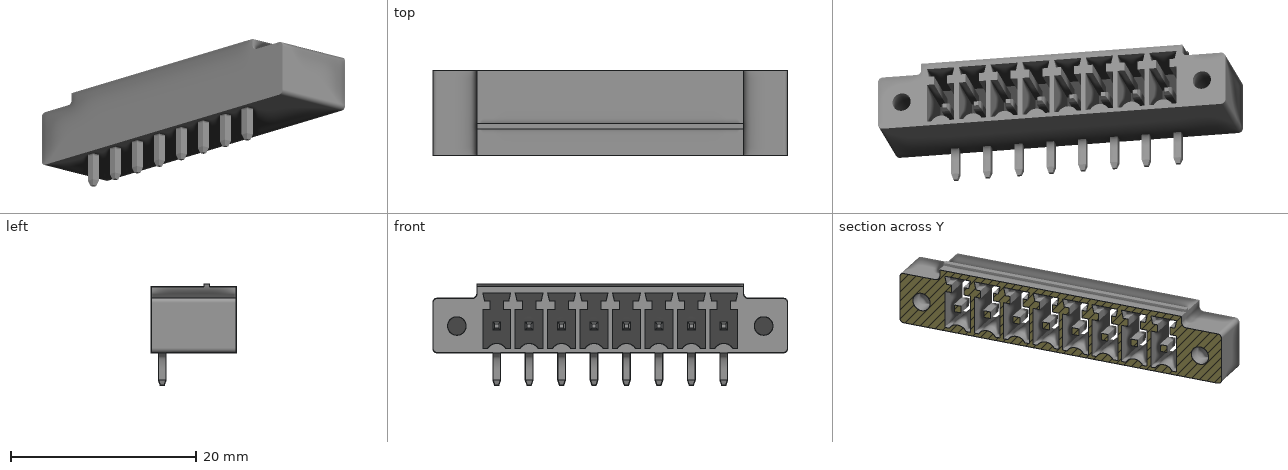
import cadquery as cq


pin_count = 8
pitch = 3.5
pin_xs = [(i - (pin_count - 1) / 2) * pitch for i in range(pin_count)]
row_half_length = pin_xs[-1]

depth = 9.2
overall_length = 38.3
flange_height = 5.9
housing_height = 7.15
insert_offset = 4.3
insert_xs = [-row_half_length - insert_offset, row_half_length + insert_offset]
raised_half_length = row_half_length + insert_offset / 2
corner_radius = 0.5

rib_front = 2.9
rib_width = 0.6
rib_height = 0.3

insert_diameter = 4.0
insert_hole_diameter = 2.0
insert_depth = 7.0
axis_height = 2.9

cavity_depth = 7.0
cavity_half_width = 1.5
cavity_floor = 0.45
cavity_shoulder = 4.67
neck_half_width = 0.73
neck_top = 5.6
keyway_half_width = 1.3
cavity_top = 6.47
floor_bump_half_width = 1.0
floor_bump_top = 1.02

pin_width = 0.85
pin_tip_width = 0.45
pin_tip_length = 0.6
leg_length = 3.5
leg_y = 8.0
contact_recess = 2.0


def make_housing():
    """Stepped block with rounded flange corners and filleted inner steps."""
    flanges = cq.Workplane("XY").box(overall_length, depth, flange_height, centered=(True, False, False))
    flanges = flanges.edges("|Y").fillet(corner_radius)
    raised = cq.Workplane("XY").box(2 * raised_half_length, depth, housing_height, centered=(True, False, False))
    step_edges = cq.selectors.BoxSelector(
        (-raised_half_length - corner_radius, 0, flange_height - corner_radius / 2),
        (raised_half_length + corner_radius, depth, flange_height + corner_radius / 2),
    )
    return flanges.union(raised).edges("|Y").edges(step_edges).fillet(corner_radius)


def make_rib():
    """Low rib across the full length of the raised block."""
    return (
        cq.Workplane("XY", origin=(0, rib_front, housing_height))
        .box(2 * raised_half_length, rib_width, rib_height, centered=(True, False, False))
    )


def cylinder_from_front(x, z, diameter, length):
    """Cylinder running from the mating face into the part."""
    return cq.Workplane("XZ", origin=(x, 0, z)).circle(diameter / 2).extrude(-length)


def make_cavity(x):
    """Plug cavity with a necked dovetail keyway above and a round bump on its floor."""
    right_side = [
        (cavity_half_width, cavity_floor),
        (cavity_half_width, cavity_shoulder),
        (neck_half_width, cavity_shoulder),
        (neck_half_width, neck_top),
        (keyway_half_width, neck_top),
        (cavity_half_width, cavity_top),
    ]
    left_side = [(-px, pz) for px, pz in reversed(right_side)]
    return (
        cq.Workplane("XZ", origin=(x, 0, 0))
        .moveTo(floor_bump_half_width, cavity_floor)
        .polyline(right_side + left_side, includeCurrent=True)
        .lineTo(-floor_bump_half_width, cavity_floor)
        .threePointArc((0, floor_bump_top), (floor_bump_half_width, cavity_floor))
        .close()
        .extrude(-cavity_depth)
    )


def tapered_tip(workplane):
    """Pyramidal pin end grown along the workplane normal."""
    return (
        workplane.rect(pin_width, pin_width)
        .workplane(offset=pin_tip_length)
        .rect(pin_tip_width, pin_tip_width)
        .loft()
    )


def make_pin(x):
    """Right-angle pin: a contact blade along Y and a solder leg along -Z."""
    blade_start = contact_recess + pin_tip_length
    blade = cq.Workplane("XZ", origin=(x, blade_start, axis_height)).rect(pin_width, pin_width)
    blade = blade.extrude(blade_start - leg_y)
    blade_tip = tapered_tip(cq.Workplane("XZ", origin=(x, blade_start, axis_height)))

    leg_end = pin_tip_length - leg_length
    leg = cq.Workplane("XY", origin=(x, leg_y, leg_end)).rect(pin_width, pin_width)
    leg = leg.extrude(axis_height - leg_end)
    leg_tip = tapered_tip(cq.Workplane("XY", origin=(x, leg_y, leg_end)).transformed(rotate=(180, 0, 0)))
    return blade.union(blade_tip).union(leg).union(leg_tip)


def make_insert(x):
    """Insert sleeve flush with the mating face and closed behind."""
    sleeve = cylinder_from_front(x, axis_height, insert_diameter, insert_depth)
    return sleeve.cut(cylinder_from_front(x, axis_height, insert_hole_diameter, insert_depth))


result = make_housing().union(make_rib())

for contact_x in pin_xs:
    result = result.cut(make_cavity(contact_x)).union(make_pin(contact_x))

for x in insert_xs:
    result = result.cut(cylinder_from_front(x, axis_height, insert_diameter, insert_depth))
for x in insert_xs:
    result = result.union(make_insert(x), clean=False)